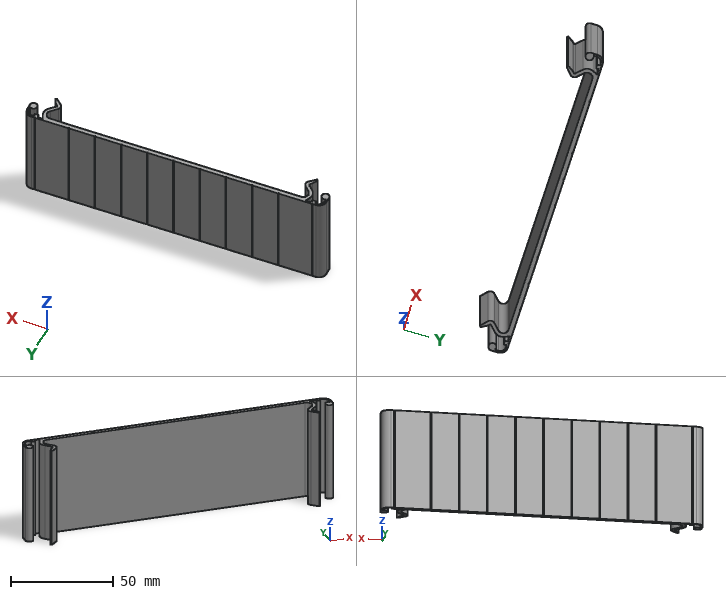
import math
import cadquery as cq

width = 160.0
profile_depth = 16.5
length = 50.0
half_width = width / 2

plate_thickness = 2.5
lip_thickness = 1.0
corner_radius = 4.0
bead_radius = 2.0
bead_centre_depth = 7.38

rib_offset = 4.85
rib_width = 2.0
rib_root_radius = 0.4

score_width = 0.6
score_depth = 0.4
score_pitch = 14.0
score_pairs = 4
rib_score_offset = rib_offset + rib_width / 2

clip_thickness = 1.95
clip_root_offset = 9.75
shoulder_offset = 12.9
shoulder_inner_radius = 2.75
shoulder_outer_radius = shoulder_inner_radius + clip_thickness
shoulder_centre_depth = plate_thickness + shoulder_inner_radius
elbow_offset = 12.2
elbow_inner_radius = 0.4
elbow_outer_radius = elbow_inner_radius + clip_thickness
toe_straight = 1.3
toe_outer_offset = 9.75
toe_outer_depth = 15.95
toe_inner_offset = 10.5

up = math.radians(90)
up_left = math.radians(135)
left = math.radians(180)
down_left = math.radians(225)
up_right = math.radians(45)


def place(offset, depth):
    """Profile point from its distance to the left edge and to the top face."""
    return (offset - half_width, -depth)


def polar(centre, radius, angle):
    """Point at a distance and direction from a centre."""
    return (centre[0] + radius * math.cos(angle), centre[1] + radius * math.sin(angle))


def tangent_angle(centre, radius, point):
    """Where a line from an outside point touches a circle, counter-clockwise of the point."""
    dx = point[0] - centre[0]
    dy = point[1] - centre[1]
    return math.atan2(dy, dx) + math.acos(radius / math.hypot(dx, dy))


def plate():
    """Left half of the flat plate, from the middle of the clip shoulder."""
    plate_length = half_width - shoulder_offset
    return (
        cq.Workplane("XY")
        .moveTo(*place(shoulder_offset, 0))
        .rect(plate_length, -plate_thickness, centered=False)
        .extrude(length)
    )


def lip():
    """Thin edge of the plate, bent down into a hooked wall."""
    bend = place(corner_radius, corner_radius)
    inner_radius = corner_radius - lip_thickness
    return (
        cq.Workplane("XY")
        .moveTo(*place(shoulder_offset, 0))
        .lineTo(*place(corner_radius, 0))
        .threePointArc(polar(bend, corner_radius, up_left), place(0, corner_radius))
        .lineTo(*place(0, bead_centre_depth))
        .lineTo(*place(lip_thickness, bead_centre_depth))
        .lineTo(*place(lip_thickness, corner_radius))
        .threePointArc(polar(bend, inner_radius, up_left), place(corner_radius, lip_thickness))
        .lineTo(*place(shoulder_offset, lip_thickness))
        .close()
        .extrude(length)
    )


def bead():
    """Round bead that ends the hooked wall."""
    centre = place(bead_radius, bead_centre_depth)
    return cq.Workplane("XY").center(*centre).circle(bead_radius).extrude(length)


def rib():
    """Rib under the lip, with a rounded root on both sides."""
    right_side = rib_offset + rib_width
    root_depth = lip_thickness + rib_root_radius
    return (
        cq.Workplane("XY")
        .moveTo(*place(rib_offset - rib_root_radius, lip_thickness))
        .radiusArc(place(rib_offset, root_depth), rib_root_radius)
        .lineTo(*place(rib_offset, plate_thickness))
        .lineTo(*place(right_side, plate_thickness))
        .lineTo(*place(right_side, root_depth))
        .radiusArc(place(right_side + rib_root_radius, lip_thickness), rib_root_radius)
        .close()
        .extrude(length)
    )


def clip():
    """Shoulder, arm, elbow and toe of the sprung clip."""
    root = place(clip_root_offset, lip_thickness)
    shoulder = place(shoulder_offset, shoulder_centre_depth)
    shoulder_turn = tangent_angle(shoulder, shoulder_outer_radius, root)
    shoulder_start = polar(shoulder, shoulder_outer_radius, shoulder_turn)
    arm_outer = polar(shoulder, shoulder_outer_radius, down_left)
    arm_inner = polar(shoulder, shoulder_inner_radius, down_left)

    touch_x = elbow_offset - half_width + elbow_inner_radius * math.cos(up_right)
    touch_y = arm_outer[1] - (touch_x - arm_outer[0])
    elbow = polar((touch_x, touch_y), elbow_inner_radius, down_left)
    elbow_inner_end = polar(elbow, elbow_inner_radius, -up_right)
    toe_bend = polar(elbow_inner_end, toe_straight, down_left)

    toe_inner = place(toe_inner_offset, profile_depth)
    elbow_outer_start = tangent_angle(elbow, elbow_outer_radius, toe_inner)
    return (
        cq.Workplane("XY")
        .moveTo(*root)
        .lineTo(*shoulder_start)
        .threePointArc(polar(shoulder, shoulder_outer_radius, left), arm_outer)
        .lineTo(touch_x, touch_y)
        .threePointArc(polar(elbow, elbow_inner_radius, 0), elbow_inner_end)
        .lineTo(*toe_bend)
        .lineTo(*place(toe_outer_offset, toe_outer_depth))
        .lineTo(*toe_inner)
        .lineTo(*polar(elbow, elbow_outer_radius, elbow_outer_start))
        .threePointArc(polar(elbow, elbow_outer_radius, 0), polar(elbow, elbow_outer_radius, up_right))
        .lineTo(*arm_inner)
        .threePointArc(
            polar(shoulder, shoulder_inner_radius, up_left),
            polar(shoulder, shoulder_inner_radius, up),
        )
        .lineTo(*place(shoulder_offset, lip_thickness))
        .close()
        .extrude(length)
    )


def score(x):
    """Cutter for one V-shaped score line in the top face."""
    return (
        cq.Workplane("XY")
        .moveTo(x - score_width / 2, 0)
        .lineTo(x, -score_depth)
        .lineTo(x + score_width / 2, 0)
        .close()
        .extrude(length)
    )


half = plate()
for piece in (lip(), bead(), rib(), clip()):
    half = half.union(piece)
body = half.union(half.mirror("YZ")).clean()

score_places = [score_pitch * step for step in range(-score_pairs, score_pairs + 1)]
score_places += [rib_score_offset - half_width, half_width - rib_score_offset]
for x in score_places:
    body = body.cut(score(x))

result = body